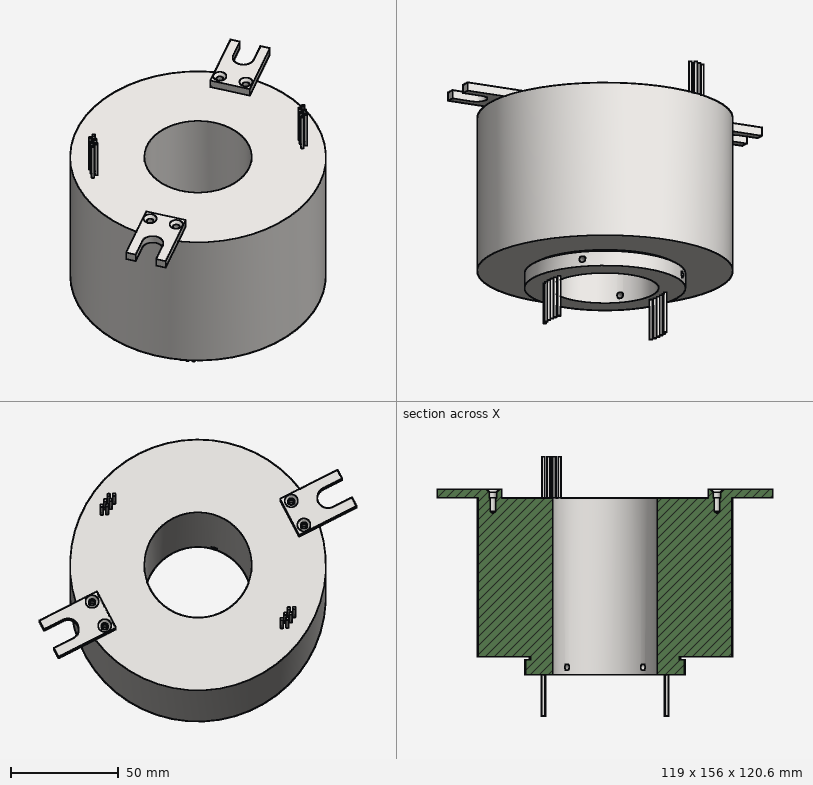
import cadquery as cq
import math

housing_diameter = 119.0
housing_height = 74.0
shell_wall = 1.9
sleeve_diameter = 59.9
bore_diameter = 49.9

neck_diameter = 70.5
neck_height = 1.2
flange_diameter = 74.9
flange_height = 7.0
set_screw_diameter = 3.0
set_screw_count = 4

tab_turns = (0, 180)
tab_tip_radius = 78.0
tab_length = 30.1
tab_width = 19.3
tab_thickness = 4.0
fork_width = 10.0
fork_depth = 15.0
tab_screw_spacing = 12.8
tab_screw_edge = 4.2
tab_screw_diameter = 3.1
countersink_diameter = 6.1
tapped_hole_diameter = 2.5
tapped_hole_depth = 6.2
drill_point_angle = 118

wire_diameter = 1.4
wire_length = 19.2
wires_per_group = 6
pad_circle_radius = 49.8
pad_angles = (30, 210)
pad_width = 4.4
pad_length = 12.3
pad_depth = 5.0
top_wire_step = 1.5
top_wire_row_offset = 1.0
lower_wire_circle_radius = 29.0
lower_wire_angle_step = 5.6
lower_group_angles = (90, 270)
wire_embedding = 1.5

flange_bottom = -neck_height - flange_height


def disc(diameter, bottom, height):
    return cq.Workplane("XY").workplane(offset=bottom).circle(diameter / 2).extrude(height)


def turned(shape, angle):
    """Turn a shape about the part's Z axis."""
    return shape.rotate((0, 0, 0), (0, 0, 1), angle)


def wire(x, y, bottom, length):
    return disc(wire_diameter, bottom, length).translate((x, y, 0))


def make_housing():
    """Flush concentric rings, joined without merging their top faces."""
    filling_diameter = housing_diameter - 2 * shell_wall
    sleeve = disc(sleeve_diameter, 0, housing_height)
    filling = disc(filling_diameter, 0, housing_height).cut(sleeve)
    shell = disc(housing_diameter, 0, housing_height).cut(disc(filling_diameter, 0, housing_height))
    return shell.union(filling, clean=False).union(sleeve, clean=False)


def make_flange():
    """Neck and flange, with radial set screw holes reaching the bore."""
    neck = disc(neck_diameter, -neck_height, neck_height)
    flange = disc(flange_diameter, flange_bottom, flange_height)
    set_screw_z = flange_bottom + flange_height / 2
    for i in range(set_screw_count):
        set_screw_hole = (
            cq.Workplane("YZ").center(0, set_screw_z).circle(set_screw_diameter / 2).extrude(flange_diameter)
        )
        angle = (i + 0.5) * 360 / set_screw_count
        flange = flange.cut(turned(set_screw_hole, angle))
    return neck.union(flange)


def tab_screw_points():
    screw_y = tab_tip_radius - tab_length + tab_screw_edge
    return [(-tab_screw_spacing / 2, screw_y), (tab_screw_spacing / 2, screw_y)]


def make_tab():
    """Tab reaching toward +Y, with an open fork slot at its tip."""
    fork_centre = tab_tip_radius - fork_depth + fork_width / 2
    plate = (
        cq.Workplane("XY")
        .workplane(offset=housing_height)
        .center(0, tab_tip_radius - tab_length / 2)
        .rect(tab_width, tab_length)
        .extrude(tab_thickness)
    )
    slot = (
        cq.Workplane("XY")
        .workplane(offset=housing_height)
        .moveTo(-fork_width / 2, tab_tip_radius)
        .lineTo(-fork_width / 2, fork_centre)
        .threePointArc((0, fork_centre - fork_width / 2), (fork_width / 2, fork_centre))
        .lineTo(fork_width / 2, tab_tip_radius)
        .close()
        .extrude(tab_thickness)
    )
    return plate.cut(slot)


def make_tab_screw_holes():
    """Right-angled countersinks and clearance holes in one tab, over drilled holes in the housing."""
    countersink_radius = countersink_diameter / 2
    clearance_radius = tab_screw_diameter / 2
    tapped_radius = tapped_hole_diameter / 2
    tab_top = housing_height + tab_thickness
    tapped_bottom = housing_height - tapped_hole_depth
    drill_tip = tapped_bottom - tapped_radius / math.tan(math.radians(drill_point_angle / 2))
    screw_hole = (
        cq.Workplane("XZ")
        .moveTo(0, tab_top)
        .lineTo(countersink_radius, tab_top)
        .lineTo(clearance_radius, tab_top - (countersink_radius - clearance_radius))
        .lineTo(clearance_radius, housing_height)
        .lineTo(tapped_radius, housing_height)
        .lineTo(tapped_radius, tapped_bottom)
        .lineTo(0, drill_tip)
        .close()
        .revolve(360, (0, 0), (0, 1))
    )
    first_hole, second_hole = [screw_hole.translate((x, y, 0)) for x, y in tab_screw_points()]
    return first_hole.union(second_hole)


def make_pad():
    """Slot-shaped pad on the +X side, long side along Y."""
    return (
        cq.Workplane("XY")
        .workplane(offset=housing_height - pad_depth)
        .center(pad_circle_radius, 0)
        .slot2D(pad_length, pad_width, 90)
        .extrude(pad_depth)
    )


def make_top_wires():
    """Two staggered rows of wires standing on the +X pad."""
    wires = []
    for i in range(wires_per_group):
        row_side = -1 if i % 2 == 0 else 1
        x = pad_circle_radius + row_side * top_wire_row_offset
        y = (i - (wires_per_group - 1) / 2) * top_wire_step
        wires.append(wire(x, y, housing_height - wire_embedding, wire_length + wire_embedding))
    return wires


body = make_housing().union(make_flange(), clean=False)
body = body.cut(disc(bore_diameter, flange_bottom, housing_height - flange_bottom), clean=False)

for tab_turn in tab_turns:
    body = body.union(turned(make_tab(), tab_turn), clean=False)
    body = body.cut(turned(make_tab_screw_holes(), tab_turn), clean=False)

for pad_angle in pad_angles:
    pad = turned(make_pad(), pad_angle)
    body = body.cut(pad, clean=False).union(pad, clean=False)
    for top_wire in make_top_wires():
        body = body.union(turned(top_wire, pad_angle), clean=False)

for group_angle in lower_group_angles:
    for i in range(wires_per_group):
        angle = math.radians(group_angle + (i - (wires_per_group - 1) / 2) * lower_wire_angle_step)
        x = lower_wire_circle_radius * math.cos(angle)
        y = lower_wire_circle_radius * math.sin(angle)
        lower_wire = wire(x, y, flange_bottom - wire_length, wire_length + wire_embedding)
        body = body.union(lower_wire, clean=False)

result = body